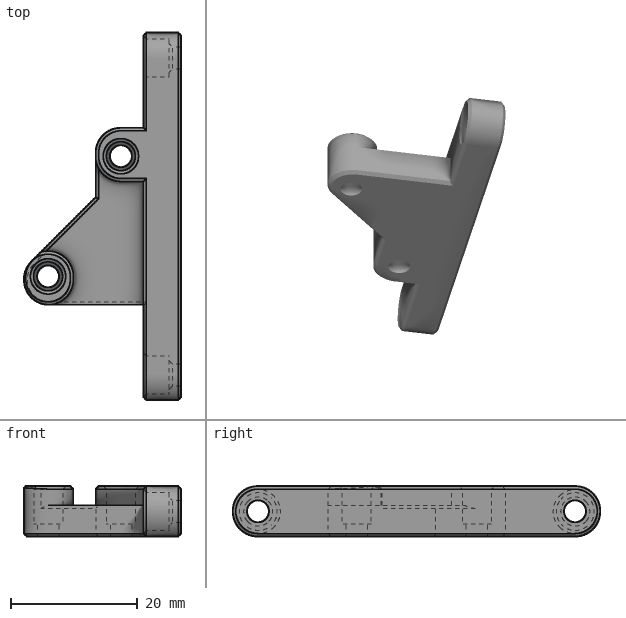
import cadquery as cq
import math

length = 58.0
height = 8.0
bar_width = 6.0
arm_reach = 18.85
chamfer = 0.5
end_radius = height / 2

plate_thickness = 5.0
boss_radius = 4.0
boss_stretch = 0.5
plate_half_length = 14.0
inside_bar_x = bar_width / 2
near_boss_x = -3.55
far_boss_x = -15.0
near_side_x = near_boss_x - boss_radius
far_corner_x = boss_radius - arm_reach
outer_arc_y = plate_half_length - boss_radius
boss_hole_y = outer_arc_y - boss_stretch

tangent_offset = boss_radius * math.sqrt(0.5)
flank_low_x = far_corner_x - tangent_offset
flank_low_y = tangent_offset - outer_arc_y
flank_high_y = flank_low_y + near_side_x - flank_low_x

hole_diameter = 3.4
boss_bore_diameter = 4.6
boss_bore_depth = 6.0
bar_bore_diameter = 6.0
bar_bore_depth = 4.0
bar_cone_diameter = 4.6
bar_hole_y = length / 2 - end_radius


def make_bar():
    """Round-ended bar with the outlines of both long faces chamfered."""
    bar = cq.Workplane("YZ").center(0, height / 2).slot2D(length, height).extrude(bar_width)
    return bar.faces("<X or >X").edges().chamfer(chamfer)


def arm_prism(thickness):
    """Arm outline with a 45 degree flank tangent to its round far corner."""
    return (
        cq.Workplane("XY")
        .moveTo(inside_bar_x, plate_half_length)
        .lineTo(near_boss_x, plate_half_length)
        .tangentArcPoint((near_side_x, outer_arc_y), relative=False)
        .lineTo(near_side_x, flank_high_y)
        .lineTo(flank_low_x, flank_low_y)
        .tangentArcPoint((far_corner_x, -plate_half_length), relative=False)
        .lineTo(inside_bar_x, -plate_half_length)
        .close()
        .extrude(thickness)
    )


def make_plate():
    """Low web with its underside outline and the upper edges of its flank and side chamfered."""
    plate = arm_prism(plate_thickness)
    plate = plate.faces("<Z").edges("not >X").chamfer(chamfer)
    sharp_plate = (
        cq.Workplane("XY")
        .moveTo(inside_bar_x, plate_half_length)
        .lineTo(near_side_x, plate_half_length)
        .lineTo(near_side_x, flank_high_y)
        .lineTo(near_side_x - flank_high_y - plate_half_length, -plate_half_length)
        .lineTo(inside_bar_x, -plate_half_length)
        .close()
        .extrude(plate_thickness)
    )
    sharp_plate = sharp_plate.faces(">Z").edges("not (>X or >Y or <Y)").chamfer(chamfer)
    return plate.intersect(sharp_plate)


def raise_boss(profile):
    """Extrude a closed boss profile from inside the plate up to the top."""
    return profile.extrude(height - plate_thickness / 2)


def make_near_boss():
    """Boss running into the bar, with its top outline chamfered."""
    lower_y = boss_hole_y - boss_radius
    profile = (
        cq.Workplane("XY", origin=(0, 0, plate_thickness / 2))
        .moveTo(inside_bar_x, plate_half_length)
        .lineTo(near_boss_x, plate_half_length)
        .tangentArcPoint((near_side_x, outer_arc_y), relative=False)
        .lineTo(near_side_x, boss_hole_y)
        .tangentArcPoint((near_boss_x, lower_y), relative=False)
        .lineTo(inside_bar_x, lower_y)
        .close()
    )
    return raise_boss(profile).faces(">Z").edges("not >X").chamfer(chamfer)


def make_far_boss():
    """Free-standing boss with its top outline chamfered, trimmed to the arm outline."""
    profile = (
        cq.Workplane("XY", origin=(0, 0, plate_thickness / 2))
        .moveTo(far_boss_x - boss_radius, -outer_arc_y)
        .threePointArc((far_boss_x, -plate_half_length), (far_boss_x + boss_radius, -outer_arc_y))
        .lineTo(far_boss_x + boss_radius, -boss_hole_y)
        .tangentArcPoint((far_boss_x - boss_radius, -boss_hole_y), relative=False)
        .close()
    )
    boss = raise_boss(profile).faces(">Z").edges().chamfer(chamfer)
    return boss.intersect(arm_prism(height), clean=False)


def bore_with_rim(plane, diameter, depth):
    """Cutter for a bore sunk from the plane, with a chamfered rim."""
    rim = plane.circle(diameter / 2 + chamfer).workplane(offset=-chamfer).circle(diameter / 2).loft()
    return plane.circle(diameter / 2).extrude(-depth).union(rim)


def boss_hole(x, y):
    """Vertical through hole with a wider bore from the top."""
    top = cq.Workplane("XY", origin=(x, y, height))
    through = top.circle(hole_diameter / 2).extrude(-height)
    return bore_with_rim(top, boss_bore_diameter, boss_bore_depth).union(through)


def bar_hole(y):
    """Through hole along X, counterbored from the -X face, with a cone leading into the hole."""
    face = cq.Workplane("YZ", origin=(0, y, height / 2)).transformed(rotate=(0, 180, 0))
    cone_depth = (bar_cone_diameter - hole_diameter) / 2
    through = face.circle(hole_diameter / 2).extrude(-bar_width)
    cone = (
        face.workplane(offset=-bar_bore_depth)
        .circle(bar_cone_diameter / 2)
        .workplane(offset=-cone_depth)
        .circle(hole_diameter / 2)
        .loft()
    )
    return bore_with_rim(face, bar_bore_diameter, bar_bore_depth).union(cone).union(through)


result = make_bar().union(make_plate())
result = result.union(make_near_boss())
result = result.union(make_far_boss())
result = result.cut(boss_hole(near_boss_x, boss_hole_y))
result = result.cut(boss_hole(far_boss_x, -boss_hole_y))
for side in (-1, 1):
    result = result.cut(bar_hole(side * bar_hole_y))